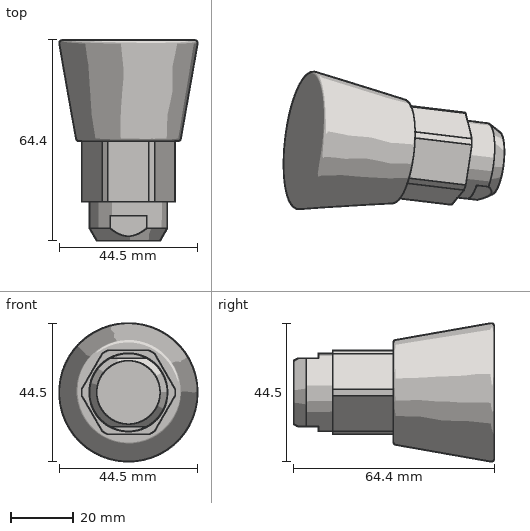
import cadquery as cq
import math

TOTAL_LENGTH = 64.4

KNOB_DIAMETER = 44.5
KNOB_LENGTH = 32.45
KNOB_TAPER = math.radians(10)
KNOB_ROUND = 1.0

HEX_LENGTH = 19.45
HEX_ACROSS_FLATS = 27.0
HEX_CORNER_DIAMETER = 30.0
BORE_DIAMETER = 25.2

PIN_DIAMETER = 25.0
PIN_LENGTH = TOTAL_LENGTH - KNOB_LENGTH
TIP_DIAMETER = 20.35
TIP_CHAMFER_LENGTH = 4.05
PIN_ACROSS_FLATS = 22.0
PIN_FLAT_LENGTH = 8.0


def cylinder_toward_tip(diameter, length):
    """Cylinder that starts at Y = 0 and runs toward -Y."""
    return cq.Workplane("XZ").circle(diameter / 2).extrude(length)


def make_knob():
    """Solid cone frustum with both rims rounded."""
    slope = math.tan(KNOB_TAPER)
    round_center = KNOB_DIAMETER / 2 - KNOB_ROUND
    wide_radius = round_center + KNOB_ROUND / math.cos(KNOB_TAPER) + KNOB_ROUND * slope
    narrow_radius = wide_radius - KNOB_LENGTH * slope
    profile = (
        cq.Workplane("XY")
        .polyline([(0, 0), (narrow_radius, 0), (wide_radius, KNOB_LENGTH), (0, KNOB_LENGTH)])
        .close()
    )
    cone = profile.revolve(360, (0, 0, 0), (0, 1, 0))
    return cone.faces("<Y or >Y").edges().fillet(KNOB_ROUND)


def make_hex_sleeve():
    """Hexagon with two corners on the X axis, turned-down corners and a clear bore for the pin."""
    across_corners = HEX_ACROSS_FLATS / math.cos(math.pi / 6)
    prism = cq.Workplane("XZ").polygon(6, across_corners).extrude(HEX_LENGTH)
    trimmed = prism.intersect(cylinder_toward_tip(HEX_CORNER_DIAMETER, HEX_LENGTH))
    return trimmed.cut(cylinder_toward_tip(BORE_DIAMETER, HEX_LENGTH))


def make_pin():
    """Pin with a conical tip and a wrench flat on its upper and lower sides."""
    radius = PIN_DIAMETER / 2
    profile = (
        cq.Workplane("XY")
        .polyline([
            (0, 0),
            (radius, 0),
            (radius, TIP_CHAMFER_LENGTH - PIN_LENGTH),
            (TIP_DIAMETER / 2, -PIN_LENGTH),
            (0, -PIN_LENGTH),
        ])
        .close()
    )
    pin = profile.revolve(360, (0, 0, 0), (0, 1, 0))
    for side in (1, -1):
        cutter = cq.Workplane("XY").box(PIN_DIAMETER, PIN_FLAT_LENGTH, PIN_DIAMETER)
        flat_center_y = PIN_FLAT_LENGTH / 2 - PIN_LENGTH
        cutter_center_z = side * (PIN_ACROSS_FLATS + PIN_DIAMETER) / 2
        pin = pin.cut(cutter.translate((0, flat_center_y, cutter_center_z)))
    return pin


knob = make_knob()
hex_sleeve = make_hex_sleeve()
pin = make_pin()

result = cq.Compound.makeCompound([knob.val(), hex_sleeve.val(), pin.val()])